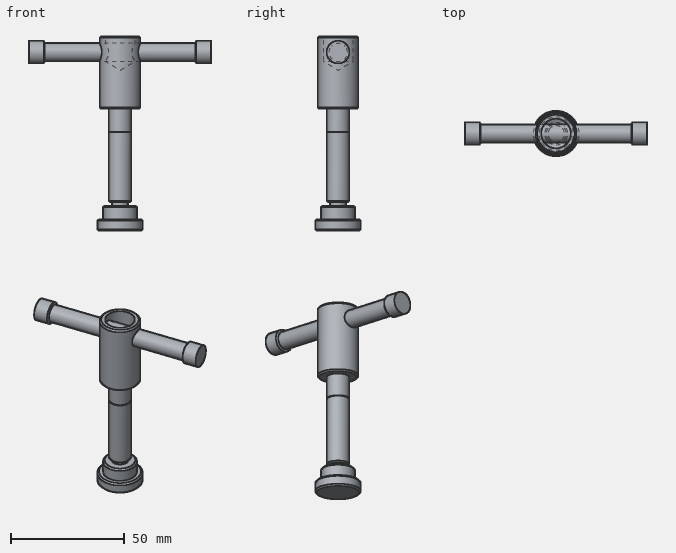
import cadquery as cq
import math

pad_diameter = 20.0
pad_flange_height = 5.1
boss_diameter = 15.0
pad_height = 11.1
pad_chamfer = 0.8

total_height = 85.6
head_diameter = 18.0
head_height = 32.0
head_chamfer = 0.8
bore_diameter = 13.0
drill_point_angle = 118.0
shank_diameter = 10.0
thread_bottom_z = 13.3
thread_top_z = 43.3
thread_chamfer = 0.7
groove_width = 0.25
groove_depth = 0.1
neck_diameter = 7.2

handle_length = 80.0
handle_diameter = 8.05
handle_drop = 7.0
knob_diameter = 10.0
knob_length = 6.4
knob_taper_length = 0.5

handle_z = total_height - handle_drop
head_bottom_z = total_height - head_height
bore_floor_z = handle_z - handle_diameter / 2
drill_point_depth = bore_diameter / 2 / math.tan(math.radians(drill_point_angle / 2))


def upright_cylinder(diameter, bottom_z, top_z):
    return cq.Workplane("XY").workplane(offset=bottom_z).circle(diameter / 2).extrude(top_z - bottom_z)


def make_pad():
    flange = upright_cylinder(pad_diameter, 0, pad_flange_height).edges().chamfer(pad_chamfer)
    boss = upright_cylinder(boss_diameter, pad_flange_height, pad_height).faces(">Z").chamfer(pad_chamfer)
    return flange.union(boss)


def handle_rod():
    return (
        cq.Workplane("YZ", origin=(-handle_length / 2, 0, handle_z))
        .circle(handle_diameter / 2)
        .extrude(handle_length)
    )


def make_bore():
    """Blind bore in the head, ending in a conical drill point below the handle."""
    bore_radius = bore_diameter / 2
    return (
        cq.Workplane("XZ")
        .moveTo(0, total_height)
        .lineTo(bore_radius, total_height)
        .lineTo(bore_radius, bore_floor_z)
        .lineTo(0, bore_floor_z - drill_point_depth)
        .close()
        .revolve(360, (0, 0), (0, 1))
    )


def make_thread_groove():
    """Shallow ring groove that marks the upper end of the thread."""
    groove_top_z = thread_top_z + groove_width
    ring = upright_cylinder(shank_diameter, thread_top_z, groove_top_z)
    core = upright_cylinder(shank_diameter - 2 * groove_depth, thread_top_z, groove_top_z)
    return ring.cut(core)


def make_screw():
    head = upright_cylinder(head_diameter, head_bottom_z, total_height).edges().chamfer(head_chamfer)
    shank = upright_cylinder(shank_diameter, thread_bottom_z - thread_chamfer, head_bottom_z)
    shank = shank.faces("<Z").chamfer(thread_chamfer)
    neck = upright_cylinder(neck_diameter, pad_height, thread_bottom_z)
    screw = head.union(shank).union(neck)
    return screw.cut(make_bore()).cut(handle_rod()).cut(make_thread_groove())


def make_knob(side):
    """Knob at one end, tapering down to the rod; side is -1 or +1 along X."""
    end_x = side * handle_length / 2
    shoulder_x = end_x - side * knob_length
    taper_end_x = shoulder_x - side * knob_taper_length
    return (
        cq.Workplane("XZ", origin=(0, 0, handle_z))
        .moveTo(end_x, 0)
        .lineTo(end_x, knob_diameter / 2)
        .lineTo(shoulder_x, knob_diameter / 2)
        .lineTo(taper_end_x, handle_diameter / 2)
        .lineTo(taper_end_x, 0)
        .close()
        .revolve(360, (0, 0), (1, 0))
    )


def make_handle():
    handle = handle_rod()
    for side in (-1, 1):
        handle = handle.union(make_knob(side))
    return handle


pad = make_pad()
screw = make_screw()
handle = make_handle()

result = cq.Compound.makeCompound([pad.val(), screw.val(), handle.val()])